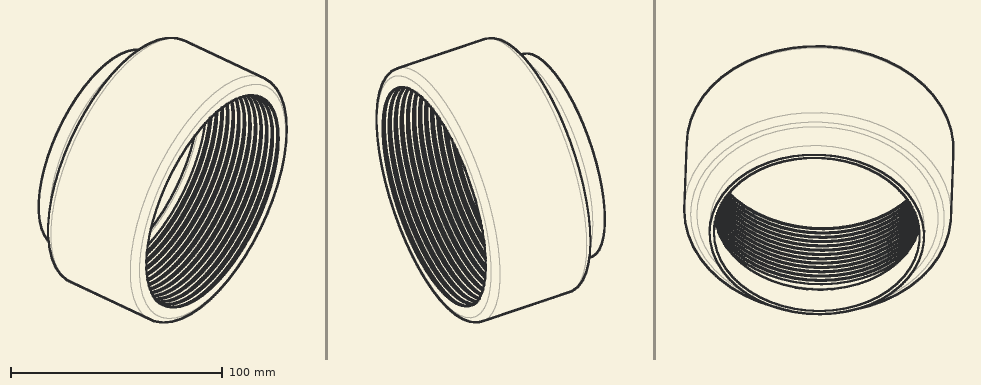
import cadquery as cq
import math

total_length = 65.0
body_radius = 63.2
neck_radius = 101.6 / 2
neck_length = 6.5
flare_radius = 6.3
body_edge_radius = 3.2
shoulder_x = neck_length + flare_radius

bore_radius = 97.4 / 2
bore_length = 15.2
relief_radius = 106.1 / 2
relief_start_x = bore_length + relief_radius - bore_radius
taper_start_x = 20.7
taper_slope = 1 / 32

thread_pitch = 3.2
groove_count = 13
crest_width = 0.8
root_width = 0.4
flank_angle = 60.0
flank_width = (thread_pitch - crest_width - root_width) / 2
groove_depth = flank_width * math.tan(math.radians(flank_angle))
last_groove_end_x = total_length - crest_width


def crest_radius(x):
    """Radius of the tapered thread crests at a place along the axis."""
    return relief_radius + (x - taper_start_x) * taper_slope


def make_blank():
    """Turned body with the tube bore, the relief and the tapered hole for the thread."""
    profile = (
        cq.Workplane("XY")
        .moveTo(0, bore_radius)
        .lineTo(0, neck_radius)
        .lineTo(neck_length, neck_radius)
        .radiusArc((shoulder_x, neck_radius + flare_radius), -flare_radius)
        .lineTo(shoulder_x, body_radius - body_edge_radius)
        .radiusArc((shoulder_x + body_edge_radius, body_radius), body_edge_radius)
        .lineTo(total_length - body_edge_radius, body_radius)
        .radiusArc((total_length, body_radius - body_edge_radius), body_edge_radius)
        .lineTo(total_length, crest_radius(total_length))
        .lineTo(taper_start_x, relief_radius)
        .lineTo(relief_start_x, relief_radius)
        .lineTo(bore_length, bore_radius)
        .close()
    )
    return profile.revolve(360, (0, 0, 0), (1, 0, 0))


def make_groove(end_x):
    """Ring with a trapezoid section that cuts one thread groove ending at end_x."""
    root_end_x = end_x - flank_width
    root_start_x = root_end_x - root_width
    start_x = root_start_x - flank_width
    root_radius = crest_radius((start_x + end_x) / 2) + groove_depth
    section = [
        (start_x, bore_radius),
        (start_x, crest_radius(start_x)),
        (root_start_x, root_radius),
        (root_end_x, root_radius),
        (end_x, crest_radius(end_x)),
        (end_x, bore_radius),
    ]
    return cq.Workplane("XY").polyline(section).close().revolve(360, (0, 0, 0), (1, 0, 0))


result = make_blank()
for index in range(groove_count):
    result = result.cut(make_groove(last_groove_end_x - index * thread_pitch))